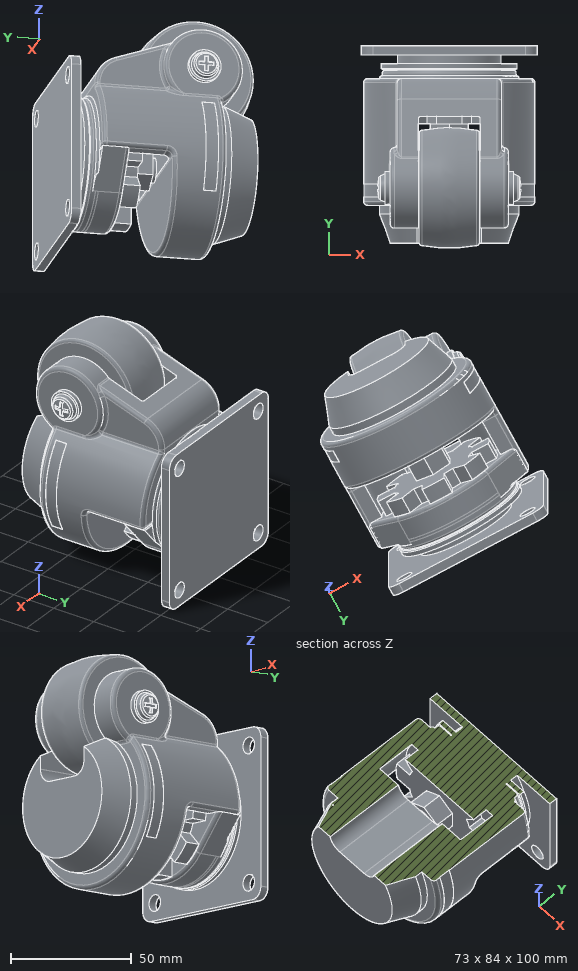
import cadquery as cq
import math


overall_height = 100.0

plate_size = 73.0
plate_thickness = 4.0
plate_corner_radius = 5.0
plate_hole_pitch = 58.0
plate_hole_diameter = 7.0

stem_radius = 21.5
disc_radius = 28.2
disc_start = 7.5
disc_end = 10.0
disc_chamfer = 0.5

housing_radius = 35.5
housing_start = 13.7
housing_end = 66.3
neck_radius = 27.8
neck_start = 10.2
neck_rounding = 1.2
neck_flare = 1.2
edge_rounding = 1.7

window_start = 25.4
window_top = -2.5
window_corner_depth = 43.3
window_corner_radius = 2.5
window_foot_depth = 45.6
skirt_inset = 1.0
cavity_radius = 28.0

dial_teeth = 8
dial_tip_radius = 26.4
dial_tooth_half_width = 5.2
dial_root_radius = 18.9
dial_end = 32.5
hexagon_sides = 6
hexagon_radius = 9.1
hexagon_end = 41.2
spindle_radius = 5.2

pad_radius = 29.0
pad_face_radius = 24.5
pad_cone_start = 69.8
pad_end = 82.0
foot_slot_half_width = 13.4
foot_slot_floor = 8.8
foot_slot_corner_radius = 6.0

wheel_radius = 25.0
wheel_half_width = 12.5
wheel_corner_radius = 1.3
wheel_crown_drop = 1.0
axle_depth = 59.0
axle_height = overall_height - plate_size / 2 - wheel_radius
slot_half_width = 12.8
slot_start = 29.4
slot_corner_radius = 1.0
slot_floor = foot_slot_floor + foot_slot_corner_radius

arm_half_width = 21.6
arm_base = 26.0
arm_rounding = 1.8
arm_shoulder_radius = 12.5
arm_slope = math.radians(18.7)
arm_top_at_axle = 53.8
arm_top_at_back = arm_top_at_axle - (axle_depth - housing_start) * math.tan(arm_slope)
shoulder_start = arm_top_at_back - arm_shoulder_radius * math.tan(math.pi / 4 - arm_slope / 2)
boss_radius = 16.7
boss_half_width = 24.5
boss_rounding = 1.8
root_rounding = 1.6

washer_radius = 6.8
washer_end = 26.7
head_radius = 5.8
head_shoulder_radius = 5.1
head_shoulder = 28.4
head_face_radius = 4.4
head_rim = 29.2
head_end = 29.9
recess_length = 6.3
recess_width = 1.5
recess_depth = 1.2

panel_start = 57.4
panel_end = 62.7
panel_top = 21.9
panel_bottom = -17.6
panel_depth = 0.1

cut_margin = 1.0
match_tolerance = 0.01


def turned(radius, start, end):
    """Cylinder on the housing axis between two depths."""
    return cq.Workplane("XZ", origin=(0, start, 0)).circle(radius).extrude(start - end)


def across(half_width, radius):
    """Cylinder on the wheel axle, centred on X = 0."""
    centre = (0, axle_depth, axle_height)
    return cq.Workplane("YZ", origin=centre).circle(radius).extrude(half_width, both=True)


def block(half_width, start, end, bottom, top):
    """Box centred on X = 0."""
    box = cq.Workplane("XY").box(2 * half_width, end - start, top - bottom, centered=(True, False, False))
    return box.translate((0, start, bottom))


def make_plate():
    """Square plate with rounded corners and four mounting holes."""
    half = plate_hole_pitch / 2
    holes = [(sx * half, sz * half) for sx in (-1, 1) for sz in (-1, 1)]
    plate = cq.Workplane("XZ").rect(plate_size, plate_size).extrude(-plate_thickness)
    plate = plate.edges("|Y").fillet(plate_corner_radius)
    cutters = cq.Workplane("XZ").pushPoints(holes).circle(plate_hole_diameter / 2).extrude(-plate_thickness)
    return plate.cut(cutters)


def make_swivel():
    """Stem from the plate into the neck, carrying the thin bearing disc."""
    stem = turned(stem_radius, plate_thickness, neck_start + neck_rounding)
    disc = turned(disc_radius, disc_start, disc_end).faces(">Y").chamfer(disc_chamfer)
    return stem.union(disc)


def on_drum(edge):
    """True for an edge whose two ends lie on the housing's outer surface, except the cylinder's seam."""
    ends = (edge.startPoint(), edge.endPoint())
    outside = all(abs(math.hypot(point.x, point.z) - housing_radius) < match_tolerance for point in ends)
    is_seam = edge.geomType() == "LINE" and abs(edge.Center().z) < match_tolerance
    return outside and not is_seam


def make_shell():
    """Large drum with everything below the window's top removed up to the front section."""
    reach = housing_radius + cut_margin
    window_outline = [
        (housing_start - cut_margin, window_top),
        (window_corner_depth, window_top),
        (window_foot_depth, -reach),
        (housing_start - cut_margin, -reach),
    ]
    window = cq.Workplane("YZ").polyline(window_outline).close().extrude(reach, both=True)
    corner = cq.selectors.NearestToPointSelector((0, window_corner_depth, window_top))
    window = window.edges(corner).fillet(window_corner_radius)
    shell = turned(housing_radius, housing_start, housing_end).cut(window)
    return shell.edges().filter(on_drum).fillet(edge_rounding)


def skirt_prism(start, end):
    """Prism under the shell whose flanks run tangentially off the round neck."""
    top_x = housing_radius - skirt_inset
    top_distance = math.hypot(top_x, window_top)
    contact_angle = math.atan2(-window_top, top_x) + math.acos(neck_radius / top_distance)
    contact_x = neck_radius * math.cos(contact_angle)
    contact_z = -neck_radius * math.sin(contact_angle)
    outline = (
        cq.Workplane("XZ", origin=(0, start, 0))
        .moveTo(-top_x, window_top)
        .lineTo(-contact_x, contact_z)
        .threePointArc((0, -neck_radius), (contact_x, contact_z))
        .lineTo(top_x, window_top)
        .close()
    )
    return outline.extrude(start - end)


def make_flare():
    """Concave sweep from the neck out to the back faces of the shell and the skirt."""
    profile = (
        cq.Workplane("XY")
        .moveTo(stem_radius, housing_start + neck_flare)
        .lineTo(stem_radius, housing_start - neck_flare)
        .lineTo(neck_radius, housing_start - neck_flare)
        .radiusArc((neck_radius + neck_flare, housing_start), -neck_flare)
        .lineTo(neck_radius + neck_flare, housing_start + neck_flare)
        .close()
    )
    flare = profile.revolve(360, (0, 0, 0), (0, 1, 0))
    upper = block(housing_radius, neck_start, window_start, window_top, housing_radius)
    return flare.intersect(upper.union(skirt_prism(neck_start, window_start)))


def make_neck():
    """Narrow round neck and the skirt around its lower half."""
    neck = turned(neck_radius, neck_start, window_start - edge_rounding)
    neck = neck.faces("<Y").edges().fillet(neck_rounding)
    skirt = skirt_prism(housing_start, window_start)
    skirt = skirt.faces(">Y").edges("not >Z").fillet(edge_rounding)
    return neck.union(skirt).union(make_flare())


def make_foot_slot():
    """Round-cornered channel below the wheel, through the housing's front section and the pad."""
    slot = block(foot_slot_half_width, window_corner_depth, pad_end, foot_slot_floor, axle_height)
    return slot.edges("|Y and <Z").fillet(foot_slot_corner_radius)


def make_pad():
    """Round foot pad, tapering to its face, with the wheel channel cut in it."""
    profile = [
        (0, housing_end),
        (pad_radius, housing_end),
        (pad_radius, pad_cone_start),
        (pad_face_radius, pad_end),
        (0, pad_end),
    ]
    pad = cq.Workplane("XY").polyline(profile).close().revolve(360, (0, 0, 0), (0, 1, 0))
    return pad.cut(make_foot_slot())


def make_fork():
    """Two arms in one piece: shoulder, sloping top, and the boss round the axle."""
    outline = [
        (housing_start, arm_base),
        (housing_start, arm_top_at_back),
        (axle_depth, arm_top_at_axle),
        (axle_depth, arm_base),
    ]
    arms = cq.Workplane("YZ").polyline(outline).close().extrude(arm_half_width, both=True)
    shoulder = cq.selectors.NearestToPointSelector((0, housing_start, arm_top_at_back))
    arms = arms.edges(shoulder).fillet(arm_shoulder_radius)
    arms = arms.faces(">X or <X").edges("not (<Z or >Y)").fillet(arm_rounding)
    boss = across(boss_half_width, boss_radius).edges("%CIRCLE").fillet(boss_rounding)
    return arms.union(boss)


def is_root(edge):
    """True for the inner-corner edges where an arm side or a boss end rises from what it stands on."""
    middle = edge.Center()
    on_arm_side = abs(abs(middle.x) - arm_half_width) < match_tolerance
    on_boss_end = abs(abs(middle.x) - boss_half_width) < match_tolerance
    if edge.geomType() == "LINE":
        along_shell = middle.z < shoulder_start and edge.Length() > boss_radius / 2
        return along_shell and (on_arm_side or on_boss_end)
    around_boss = middle.y > slot_start
    return on_arm_side and around_boss


def clear_shoulder(shell):
    """Take the shell's rim away where it would stand proud of the fork's rounded shoulder."""
    half_width = arm_half_width - arm_rounding
    return shell.cut(block(half_width, housing_start, axle_depth, shoulder_start, housing_radius))


def make_dial():
    """Toothed wheel with parallel-sided teeth, fixed to a hexagon and spindle."""
    dial = turned(dial_root_radius, window_start, dial_end)
    spoke = block(dial_tooth_half_width, window_start, dial_end, -dial_tip_radius, dial_tip_radius)
    spoke = spoke.intersect(turned(dial_tip_radius, window_start, dial_end))
    for tooth_pair in range(dial_teeth // 2):
        dial = dial.union(spoke.rotate((0, 0, 0), (0, 1, 0), tooth_pair * 360 / dial_teeth))
    hexagon = cq.Workplane("XZ", origin=(0, dial_end, 0)).polygon(hexagon_sides, 2 * hexagon_radius)
    hexagon = hexagon.extrude(dial_end - hexagon_end)
    hexagon = hexagon.rotate((0, 0, 0), (0, 1, 0), 180 / hexagon_sides)
    spindle = turned(spindle_radius, hexagon_end, housing_end)
    return dial.union(hexagon).union(spindle)


def make_wheel():
    """Crowned tread with rounded corners."""
    shoulder_x = wheel_half_width - wheel_corner_radius
    shoulder_radius = wheel_radius - wheel_crown_drop
    side_radius = shoulder_radius - wheel_corner_radius
    diagonal = wheel_corner_radius * math.sqrt(0.5)
    profile = (
        cq.Workplane("XY")
        .moveTo(-wheel_half_width, 0)
        .lineTo(-wheel_half_width, side_radius)
        .threePointArc((-shoulder_x - diagonal, side_radius + diagonal), (-shoulder_x, shoulder_radius))
        .threePointArc((0, wheel_radius), (shoulder_x, shoulder_radius))
        .threePointArc((shoulder_x + diagonal, side_radius + diagonal), (wheel_half_width, side_radius))
        .lineTo(wheel_half_width, 0)
        .close()
    )
    wheel = profile.revolve(360, (0, 0, 0), (1, 0, 0))
    return wheel.translate((0, axle_depth, axle_height))


def make_axle():
    """Axle with a washer and a slightly conical, cross-recessed head at each end."""
    half_profile = (
        cq.Workplane("XY")
        .lineTo(0, washer_radius)
        .lineTo(washer_end, washer_radius)
        .lineTo(washer_end, head_radius)
        .lineTo(head_shoulder, head_shoulder_radius)
        .lineTo(head_rim, head_face_radius)
        .lineTo(head_end, 0)
        .close()
    )
    end = half_profile.revolve(360, (0, 0, 0), (1, 0, 0))
    for length, width in ((recess_length, recess_width), (recess_width, recess_length)):
        bar = cq.Workplane("YZ", origin=(head_end - recess_depth, 0, 0)).rect(length, width)
        end = end.cut(bar.extrude(recess_depth))
    axle = end.union(end.mirror("YZ"))
    return axle.translate((0, axle_depth, axle_height))


def cut_panels(body):
    """Sink a shallow panel into each flank."""
    skin = turned(housing_radius, panel_start, panel_end)
    skin = skin.cut(turned(housing_radius - panel_depth, panel_start, panel_end))
    band = block(housing_radius, panel_start, panel_end, panel_bottom, panel_top)
    return body.cut(skin.intersect(band))


housing = clear_shoulder(make_shell()).cut(make_foot_slot()).union(make_fork())
housing = housing.edges().filter(is_root).fillet(root_rounding)
housing = housing.union(make_neck())
housing = cut_panels(housing)
housing = housing.cut(turned(cavity_radius, window_start, window_corner_depth))

wheel_slot = block(slot_half_width, slot_start, pad_end, slot_floor, axle_height + boss_radius)
wheel_slot = wheel_slot.edges("|Z and <Y").fillet(slot_corner_radius)
housing = housing.cut(wheel_slot)

caster = make_plate().union(make_swivel()).union(housing)
for piece in (make_pad(), make_dial(), make_axle(), make_wheel()):
    caster = caster.union(piece)

result = caster.rotate((0, 0, 0), (0, 0, 1), 180)